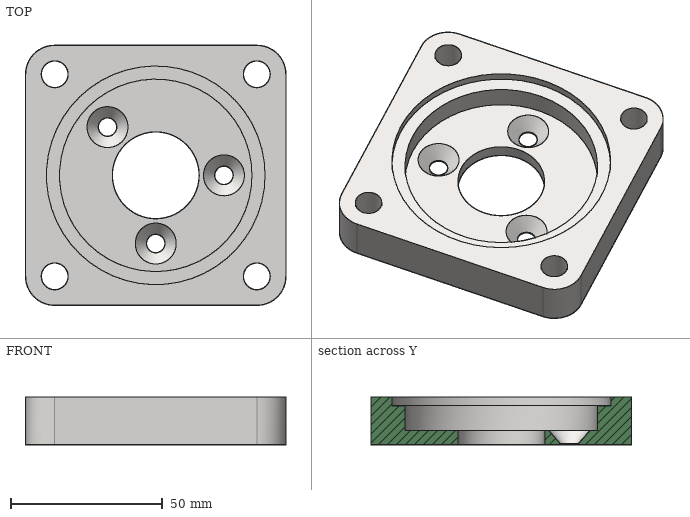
import cadquery as cq
import math

length_x = 85.98
width_y = 85.85
thickness = 15.88
corner_radius = 9.6

rim_diameter = 72.14
rim_depth = 2.9
pocket_diameter = 63.5
floor_thickness = 4.76
bore_diameter = 28.57

corner_hole_diameter = 8.74
corner_hole_offset = 33.34

screw_circle_radius = 22.5
screw_angles = (0, 135, 270)
screw_hole_diameter = 6.0
countersink_diameter = 13.5
countersink_angle = 82


def make_plate():
    plate = cq.Workplane("XY").box(length_x, width_y, thickness, centered=(True, True, False))
    return plate.edges("|Z").fillet(corner_radius)


def cut_round(body, diameter, bottom_z):
    """Cut a central round recess from the top face down to bottom_z."""
    height = thickness - bottom_z
    cutter = cq.Workplane("XY", origin=(0, 0, bottom_z)).circle(diameter / 2).extrude(height)
    return body.cut(cutter)


def cut_corner_holes(body):
    pitch = 2 * corner_hole_offset
    cutters = (
        cq.Workplane("XY")
        .rect(pitch, pitch, forConstruction=True)
        .vertices()
        .circle(corner_hole_diameter / 2)
        .extrude(thickness)
    )
    return body.cut(cutters)


def cut_screw_holes(body):
    """Cut the screw holes, countersunk from the pocket floor."""
    centers = []
    for angle in screw_angles:
        turn = math.radians(angle)
        centers.append((screw_circle_radius * math.cos(turn), screw_circle_radius * math.sin(turn)))
    return (
        body.copyWorkplane(cq.Workplane("XY", origin=(0, 0, floor_thickness)))
        .pushPoints(centers)
        .cskHole(screw_hole_diameter, countersink_diameter, countersink_angle, floor_thickness)
    )


result = make_plate()
result = cut_round(result, rim_diameter, thickness - rim_depth)
result = cut_round(result, pocket_diameter, floor_thickness)
result = cut_round(result, bore_diameter, 0)
result = cut_corner_holes(result)
result = cut_screw_holes(result)